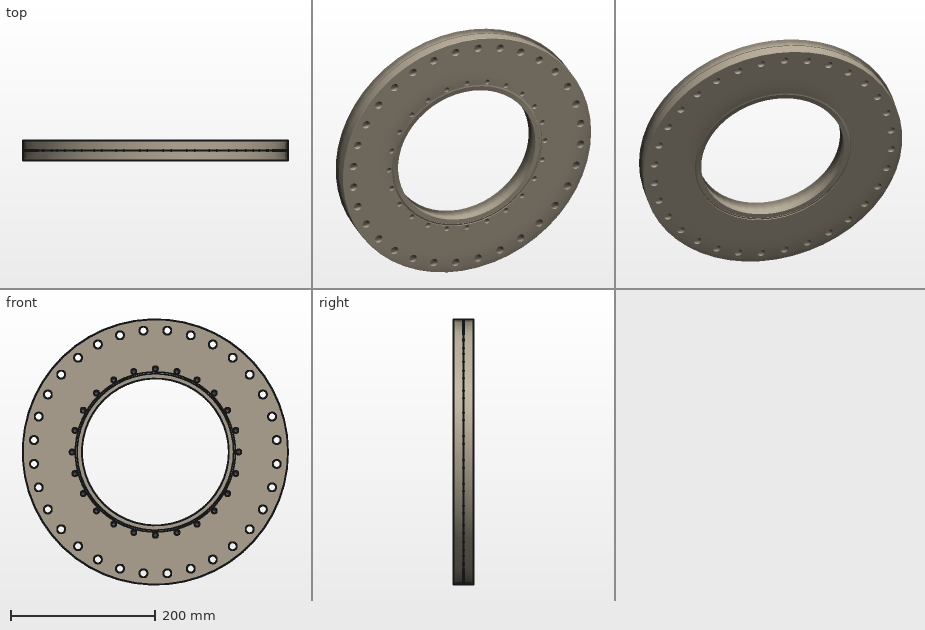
import cadquery as cq
import math

outer_diameter = 368.3
bore_diameter = 203.3
thickness = 28.5
rim_chamfer = 0.45
front_y = -thickness / 2
back_y = thickness / 2

gap_width = 0.92
gap_floor_diameter = 326.3

recess_diameter = 222.0
recess_depth = 1.5
knife_edge_diameter = 217.0
knife_edge_depth = 0.55
land_depth = 1.0

bolt_count = 32
bolt_diameter = 10.5
bolt_circle_diameter = 338.0

blind_count = 24
blind_diameter = 6.5
blind_circle_diameter = 231.0
blind_depth = 14.7
drill_point_angle = 118.0
flat_bottom_angles = (0, 270)

mouth_chamfer = 0.5

inward = cq.Vector(0, 1, 0)


def flange_ring():
    """Half section revolved about Y, with the sealing recesses, rim gap and rim chamfers."""
    outer_radius = outer_diameter / 2
    bore_radius = bore_diameter / 2
    recess_radius = recess_diameter / 2
    knife_edge_radius = knife_edge_diameter / 2
    gap_floor_radius = gap_floor_diameter / 2
    front_half = [
        (bore_radius, front_y + land_depth),
        (knife_edge_radius, front_y + land_depth),
        (knife_edge_radius, front_y + knife_edge_depth),
        (recess_radius, front_y + recess_depth),
        (recess_radius, front_y),
        (outer_radius - rim_chamfer, front_y),
        (outer_radius, front_y + rim_chamfer),
        (outer_radius, -gap_width / 2),
        (gap_floor_radius, -gap_width / 2),
    ]
    back_half = [(radius, -y) for radius, y in reversed(front_half)]
    profile = front_half + back_half
    return cq.Workplane("XY").polyline(profile).close().revolve(360, (0, 0, 0), (0, 1, 0)).val()


def front_point(circle_diameter, angle):
    """Point on the front face, on a circle around the axis; degrees from +X towards +Z."""
    radius = circle_diameter / 2
    turn = math.radians(angle)
    return cq.Vector(radius * math.cos(turn), front_y, radius * math.sin(turn))


def chamfered_hole(diameter, depth, centre):
    """Cylinder going in from the front face, with a chamfered mouth."""
    radius = diameter / 2
    shaft = cq.Solid.makeCylinder(radius, depth, centre, inward)
    mouth = cq.Solid.makeCone(radius + mouth_chamfer, radius, mouth_chamfer, centre, inward)
    return shaft.fuse(mouth)


def drill_point(centre):
    """Conical bottom of a blind hole."""
    radius = blind_diameter / 2
    length = radius / math.tan(math.radians(drill_point_angle / 2))
    return cq.Solid.makeCone(radius, 0, length, centre + inward * blind_depth, inward)


bolt_pitch = 360 / bolt_count
holes = []
for i in range(bolt_count):
    bolt_centre = front_point(bolt_circle_diameter, (i + 0.5) * bolt_pitch)
    holes.append(chamfered_hole(bolt_diameter, thickness, bolt_centre))

blind_pitch = 360 / blind_count
for i in range(blind_count):
    blind_angle = i * blind_pitch
    blind_centre = front_point(blind_circle_diameter, blind_angle)
    hole = chamfered_hole(blind_diameter, blind_depth, blind_centre)
    if blind_angle not in flat_bottom_angles:
        hole = hole.fuse(drill_point(blind_centre))
    holes.append(hole)

result = cq.Workplane(flange_ring().cut(*holes))